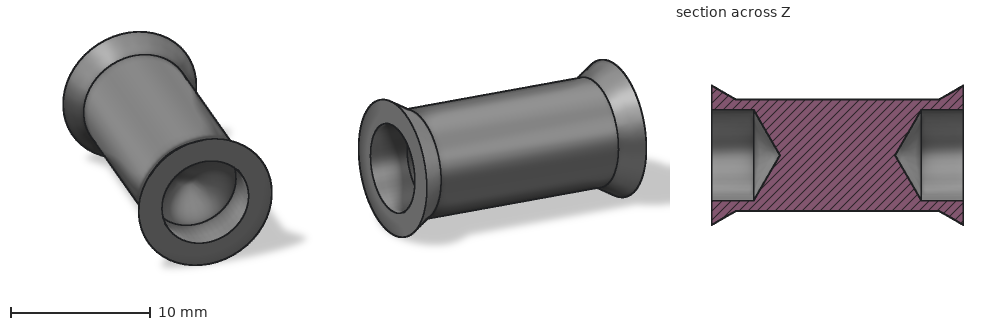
import cadquery as cq
import math

length = 18.0
body_diameter = 8.0
rim_diameter = 10.0
flare_angle = 30.0

bore_diameter = 6.5
bore_depth = 3.0
drill_point_angle = 120.0

body_radius = body_diameter / 2
rim_radius = rim_diameter / 2
bore_radius = bore_diameter / 2
half_length = length / 2
flare_length = (rim_radius - body_radius) / math.tan(math.radians(flare_angle))
point_depth = bore_radius / math.tan(math.radians(drill_point_angle / 2))


def revolve_about_x(profile):
    """Turn a closed (x, radius) profile around the X axis."""
    return (
        cq.Workplane("XZ")
        .polyline(profile)
        .close()
        .revolve(360, (0, 0, 0), (1, 0, 0))
    )


def flared_body():
    """Cylinder that widens to a sharp rim at both ends."""
    return revolve_about_x([
        (-half_length, 0),
        (-half_length, rim_radius),
        (-half_length + flare_length, body_radius),
        (half_length - flare_length, body_radius),
        (half_length, rim_radius),
        (half_length, 0),
    ])


def blind_bore():
    """Drilled hole in the -X end: cylindrical wall ending in a cone."""
    wall_end = -half_length + bore_depth
    return revolve_about_x([
        (-half_length, 0),
        (-half_length, bore_radius),
        (wall_end, bore_radius),
        (wall_end + point_depth, 0),
    ])


bore = blind_bore()
result = flared_body().cut(bore).cut(bore.mirror("YZ"))